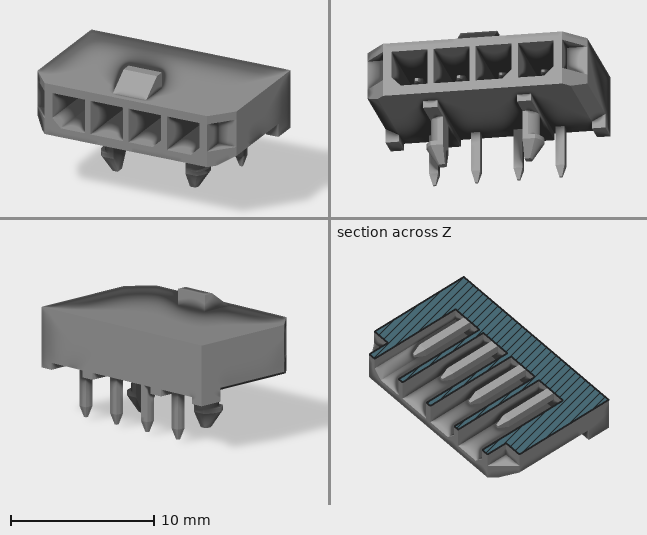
import cadquery as cq


housing_width = 15.65
housing_depth = 9.9
housing_bottom = 0.5
housing_top = 4.37
corner_cut_x = 1.44
corner_cut_y = 1.7
notch_bottom = 1.67
notch_top = 3.75

foot_width = 0.96
foot_length = 1.85
bevel_height = 0.5

latch_width = 2.62
latch_top = 5.57
latch_front = 0.56
latch_crest = 2.2
latch_back = 2.95

circuit_count = 4
pitch = 3.0
cavity_size = 2.55
cavity_center_z = 2.455
cavity_depth = 7.4
key_chamfer = 0.66
key_sides = [-1, 0, 1, 1]

pin_size = 0.64
pin_center_z = 2.47
pin_tip_size = 0.2
pin_taper = 0.8
pin_front = 2.5
leg_y = 8.87
leg_bottom = -3.15

peg_inner_x = 2.83
peg_y = 4.58
peg_width = 1.98
peg_flat = 0.38
peg_reach = 1.02
bead_flat = 0.88
bead_reach = 1.34
bead_top = -1.76
bead_bottom = -2.07
peg_tip_width = 0.64
peg_tip_flat = 0.4
peg_tip_reach = 0.53
peg_bottom = -3.3
rib_width = peg_reach
rib_front = 1.6

half_width = housing_width / 2
overlap = 0.1


def circuit_x(index):
    return (index - (circuit_count - 1) / 2) * pitch


def mirrored_pair(shape):
    return shape.union(shape.mirror("YZ"))


def make_shell():
    """Block with the two front corners cut off."""
    return (
        cq.Workplane("XY", origin=(0, 0, housing_bottom))
        .moveTo(-half_width, housing_depth)
        .lineTo(-half_width, corner_cut_y)
        .lineTo(corner_cut_x - half_width, 0)
        .lineTo(half_width - corner_cut_x, 0)
        .lineTo(half_width, corner_cut_y)
        .lineTo(half_width, housing_depth)
        .close()
        .extrude(housing_top - housing_bottom)
    )


def make_corner_notches():
    """Triangular recesses that square the cut corners back in."""
    notch = (
        cq.Workplane("XY", origin=(0, 0, notch_bottom))
        .moveTo(-half_width, 0)
        .lineTo(corner_cut_x - half_width, 0)
        .lineTo(corner_cut_x - half_width, corner_cut_y)
        .lineTo(-half_width, corner_cut_y)
        .close()
        .extrude(notch_top - notch_bottom)
    )
    return mirrored_pair(notch)


def make_side_bevels():
    """Wedges removed along both lower edges, from the front to the feet."""
    bevel = (
        cq.Workplane("XZ")
        .moveTo(-half_width, housing_bottom)
        .lineTo(foot_width - half_width, housing_bottom)
        .lineTo(-half_width, housing_bottom + bevel_height)
        .close()
        .extrude(foot_length - housing_depth)
    )
    return mirrored_pair(bevel)


def make_feet():
    foot = cq.Workplane("XY").box(
        foot_width, foot_length, housing_bottom + overlap, centered=False
    )
    return mirrored_pair(foot.translate((-half_width, housing_depth - foot_length, 0)))


def make_latch():
    return (
        cq.Workplane("YZ")
        .moveTo(latch_front, housing_top)
        .lineTo(latch_crest, latch_top)
        .lineTo(latch_back, latch_top)
        .lineTo(latch_back, housing_top)
        .close()
        .extrude(latch_width / 2, both=True)
    )


def make_cavity(index):
    """Square socket, with one lower corner filled where the circuit is keyed."""
    cavity = (
        cq.Workplane("XZ", origin=(circuit_x(index), 0, cavity_center_z))
        .rect(cavity_size, cavity_size)
        .extrude(-cavity_depth)
    )
    side = key_sides[index]
    if side:
        corner = "<X and <Z" if side < 0 else ">X and <Z"
        cavity = cavity.edges("|Y").edges(corner).chamfer(key_chamfer)
    return cavity


def tapered_pin(base_plane, length):
    """Square bar along the plane normal that narrows to a blunt point."""
    shank_length = length - pin_taper
    shank = base_plane.rect(pin_size, pin_size).extrude(shank_length)
    point = (
        base_plane.workplane(offset=shank_length)
        .rect(pin_size, pin_size)
        .workplane(offset=pin_taper)
        .rect(pin_tip_size, pin_tip_size)
        .loft(ruled=True)
    )
    return shank.union(point)


def make_contact(index):
    """Mating pin in the cavity and solder leg below, both rooted in the rear wall."""
    x = circuit_x(index)
    pin_root = cq.Workplane("XZ", origin=(x, leg_y, pin_center_z))
    leg_root = cq.Workplane("XY", origin=(x, leg_y, pin_center_z)).transformed(rotate=(180, 0, 0))
    mating_pin = tapered_pin(pin_root, leg_y - pin_front)
    solder_leg = tapered_pin(leg_root, pin_center_z - leg_bottom)
    return mating_pin.union(solder_leg)


def peg_section(plane, width, flat, reach):
    """D-shaped section: flat inner side, straight flanks, bowed outer side."""
    return (
        plane.moveTo(0, -width / 2)
        .lineTo(-flat, -width / 2)
        .threePointArc((-reach, 0), (-flat, width / 2))
        .lineTo(0, width / 2)
        .close()
    )


def peg_plane(z):
    return cq.Workplane("XY", origin=(-peg_inner_x, peg_y, z))


def make_pegs():
    """Stem, wider snap bead and tapered tip, all sharing one flat inner side."""
    stem_outline = peg_section(peg_plane(bead_top), peg_width, peg_flat, peg_reach)
    stem = stem_outline.extrude(-bead_top)
    bead_top_outline = peg_section(peg_plane(bead_top), peg_width, bead_flat, bead_reach)
    bead = bead_top_outline.extrude(bead_bottom - bead_top)
    bead_bottom_outline = peg_section(peg_plane(bead_bottom), peg_width, bead_flat, bead_reach)
    tip_plane = bead_bottom_outline.workplane(offset=peg_bottom - bead_bottom)
    tip = peg_section(tip_plane, peg_tip_width, peg_tip_flat, peg_tip_reach).loft(ruled=True)
    return mirrored_pair(stem.union(bead).union(tip))


def make_ribs():
    rib = cq.Workplane("XY").box(
        rib_width, housing_depth - rib_front, housing_bottom + overlap, centered=False
    )
    return mirrored_pair(rib.translate((-peg_inner_x - rib_width, rib_front, 0)))


result = make_shell().cut(make_corner_notches()).cut(make_side_bevels())
result = result.union(make_feet()).union(make_latch()).union(make_ribs()).union(make_pegs())
for circuit in range(circuit_count):
    result = result.cut(make_cavity(circuit))
for circuit in range(circuit_count):
    result = result.union(make_contact(circuit))